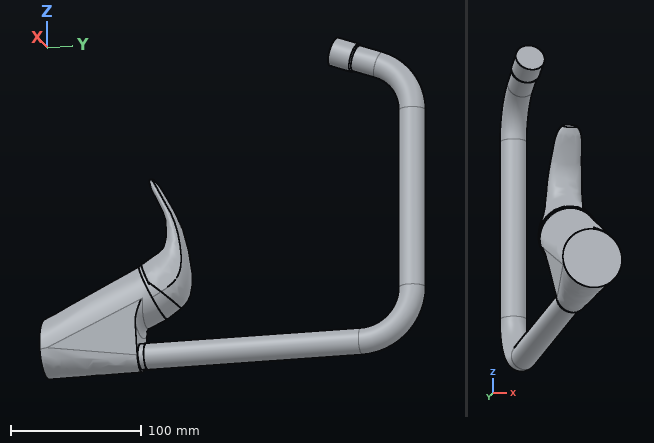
import cadquery as cq
import math

tube_dia = 20.7
tube_z = 12.0
bend_radius = 40.3
spout_back_y = 300.7
upper_bend_z = 193.7
upper_bend_angle = 70.0
outlet_neck_length = 19.0
aerator_dia = 23.0
aerator_length = 19.0
aerator_chamfer = 1.2

body_dia = 46.5
body_radius = body_dia / 2
body_length = 75.0
body_fillet = 7.5
foot_radius = 12.3
flank_lean = 14.0
flank_inset = 0.05
seat_tilt = 25.0
seat_y = 84.5
seat_z = 62.2
spout_ring_dia = 20.0
spout_ring_length = 4.5

cap_dia = 48.0
neck_dia = 46.3
cap_gap = 2.7
rim_angle = 26.0
lever_sections = [
    ((81.8, 88.5), (105.8, 49.3), 22.3, 12.0),
    ((89.0, 93.5), (113.7, 60.7), 19.2, 9.5),
    ((94.0, 100.7), (112.8, 90.5), 14.7, 3.5),
    ((95.0, 115.8), (105.5, 117.3), 13.2, 2.0),
    ((92.0, 126.5), (99.2, 130.2), 12.0, 2.0),
    ((84.2, 142.0), (90.5, 145.5), 10.2, 1.8),
    ((81.8, 149.5), (84.8, 152.5), 6.0, 1.2),
]
skirt_start = (87.2, 64.0)
skirt_end = (106.7, 48.5)


def oriented_plane(y, z, angle):
    """Plane across the YZ direction that rises at the given angle from +Y."""
    tilt = math.radians(angle)
    return cq.Plane((0, y, z), xDir=(1, 0, 0), normal=(0, math.cos(tilt), math.sin(tilt)))


def circle_wire(y, z, angle, diameter):
    return cq.Workplane(oriented_plane(y, z, angle)).circle(diameter / 2).wires().val()


def crowned_wire(plane, half_width, depth, crown):
    """Closed section: an ellipse on the inner side, topped by a shallow crowned arc on the outer side."""
    rim = math.radians(rim_angle)
    half_height = (depth - crown) / (1 + math.sin(rim))
    center = half_height - depth / 2
    right, left = (
        plane.toWorldCoords((side * half_width * math.cos(rim), depth / 2 - crown, 0)) for side in (1, -1)
    )
    top = plane.toWorldCoords((0, depth / 2, 0))
    outer_arc = cq.Edge.makeThreePointArc(right, top, left)
    inner_arc = cq.Edge.makeEllipse(
        half_width,
        half_height,
        plane.toWorldCoords((0, center, 0)),
        plane.zDir,
        plane.xDir,
        180 - rim_angle,
        360 + rim_angle,
    )
    return cq.Wire.assembleEdges([outer_arc, inner_arc])


def seat_wire(diameter, rise):
    """Round section parallel to the lever seat, raised from it along the barrel axis."""
    tilt = math.radians(seat_tilt)
    plane = oriented_plane(seat_y + rise * math.cos(tilt), seat_z + rise * math.sin(tilt), seat_tilt)
    crown = diameter / 2 * (1 - math.sin(math.radians(rim_angle)))
    return crowned_wire(plane, diameter / 2, diameter, crown)


def lever_wire(inner, outer, half_width, crown):
    """Lever section spanning from an inner to an outer point of the YZ outline."""
    dy = outer[0] - inner[0]
    dz = outer[1] - inner[1]
    mid_y = (inner[0] + outer[0]) / 2
    mid_z = (inner[1] + outer[1]) / 2
    plane = oriented_plane(mid_y, mid_z, math.degrees(math.atan2(dy, -dz)))
    return crowned_wire(plane, half_width, math.hypot(dy, dz), crown)


def make_spout():
    """Bent tube with a slightly thinner root ring and a wider aerator at its outlet."""
    tube_start_y = body_length + spout_ring_length
    column_y = spout_back_y - tube_dia / 2
    turn = math.radians(upper_bend_angle)
    center_y = column_y - bend_radius
    bend_end = (
        center_y + bend_radius * math.cos(turn),
        upper_bend_z + bend_radius * math.sin(turn),
    )
    bend_mid = (
        center_y + bend_radius * math.cos(turn / 2),
        upper_bend_z + bend_radius * math.sin(turn / 2),
    )
    lower_mid = (
        center_y + bend_radius * math.sin(math.pi / 4),
        tube_z + bend_radius * (1 - math.cos(math.pi / 4)),
    )
    out_y = -math.sin(turn)
    out_z = math.cos(turn)
    neck_end = (
        bend_end[0] + outlet_neck_length * out_y,
        bend_end[1] + outlet_neck_length * out_z,
    )
    path = (
        cq.Workplane("YZ")
        .moveTo(tube_start_y, tube_z)
        .lineTo(center_y, tube_z)
        .threePointArc(lower_mid, (column_y, tube_z + bend_radius))
        .lineTo(column_y, upper_bend_z)
        .threePointArc(bend_mid, bend_end)
        .lineTo(*neck_end)
    )
    tube = cq.Workplane("XZ", origin=(0, tube_start_y, tube_z)).circle(tube_dia / 2).sweep(path)
    ring = (
        cq.Workplane("XZ", origin=(0, body_length, tube_z))
        .circle(spout_ring_dia / 2)
        .extrude(-spout_ring_length)
    )
    aerator = (
        cq.Workplane(oriented_plane(*neck_end, 90 + upper_bend_angle))
        .circle(aerator_dia / 2)
        .extrude(aerator_length)
        .faces("<Z")
        .chamfer(aerator_chamfer)
    )
    return tube.union(ring).union(aerator)


def make_flanks():
    """Wedge whose flat sides touch the front circle, the rear foot and the rising barrel."""
    lean = math.radians(flank_lean)
    axis_z = body_radius + (seat_z - body_radius) * body_length / seat_y
    rising_half_height = body_radius / math.cos(math.radians(seat_tilt))
    wide = body_radius * math.cos(lean) - flank_inset
    narrow = foot_radius * math.cos(lean) - flank_inset
    sides = []
    for side in (1, -1):
        corners = [
            (side * wide, 0, body_radius * (1 - math.sin(lean))),
            (side * narrow, body_length, foot_radius * (1 - math.sin(lean))),
            (side * wide, body_length, axis_z - rising_half_height * math.sin(lean)),
        ]
        sides.append(cq.Wire.makePolygon([cq.Vector(*corner) for corner in corners], close=True))
    return cq.Workplane(cq.Solid.makeLoft(sides, True))


def make_body():
    """Front circle lofted to the tilted lever seat and to the rear foot, joined by flat flanks."""
    face = circle_wire(0, body_radius, 0, body_dia)
    seat = circle_wire(seat_y, seat_z, seat_tilt, body_dia)
    rising = cq.Workplane(cq.Solid.makeLoft([face, seat], True))
    rear = circle_wire(body_length, foot_radius, 0, 2 * foot_radius)
    barrel = cq.Workplane(cq.Solid.makeLoft([face, rear], True))
    body = rising.union(barrel).union(make_flanks())
    rear_corner = cq.selectors.BoxSelector(
        (-body_dia, body_length - flank_inset, 2 * foot_radius),
        (body_dia, body_length + flank_inset, seat_z),
        boundingbox=True,
    )
    return body.edges(rear_corner).fillet(body_fillet)


def lever_loft(diameter, rise, sections):
    """Smooth loft from a round base above the seat through the given lever sections."""
    wires = [seat_wire(diameter, rise)]
    wires += [lever_wire(*section) for section in sections]
    return cq.Workplane(cq.Solid.makeLoft(wires, False))


def make_lever():
    """Lever and its cap, with the cap trimmed along a sloping rear edge."""
    trimmed = (
        cq.Workplane("YZ")
        .polyline([skirt_start, skirt_end, (skirt_end[0], 0), (skirt_start[0], 0)])
        .close()
        .extrude(cap_dia, both=True)
    )
    return lever_loft(cap_dia, cap_gap, lever_sections).cut(trimmed)


neck = lever_loft(neck_dia, 0, lever_sections[:1])
result = make_body().union(neck).union(make_lever()).union(make_spout())